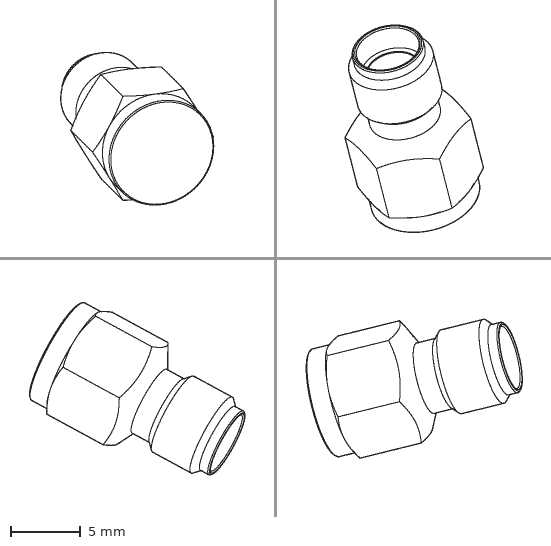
import cadquery as cq
import math

length = 14.2
hex_flats = 8.0
hex_radius = hex_flats / math.sqrt(3)

thread_start = 0.8
thread_end = 5.01
cone_start = 6.49
hex_end = 12.7

neck_radius = 2.61
thread_radius = 3.11
collar_radius = hex_flats / 2
thread_chamfer = thread_radius - neck_radius
edge_chamfer = 0.1
hex_cone_slope = math.tan(math.radians(30))

bore_radius = 2.3
bore_depth = 1.99
mouth_chamfer = 0.1
recess_radius = 1.9
recess_depth = 0.1


def turned(profile):
    """Revolve (station, radius) points, closed along the X axis, into a solid."""
    first_station = profile[0][0]
    last_station = profile[-1][0]
    outline = [(first_station, 0), *profile, (last_station, 0)]
    return cq.Workplane("XY").polyline(outline).close().revolve(360, (0, 0, 0), (1, 0, 0))


def make_threaded_neck():
    """Neck with the raised, chamfered band of the unmodelled thread."""
    return turned([
        (0, neck_radius - edge_chamfer),
        (edge_chamfer, neck_radius),
        (thread_start, neck_radius),
        (thread_start + thread_chamfer, thread_radius),
        (thread_end - thread_chamfer, thread_radius),
        (thread_end, neck_radius),
        (cone_start, neck_radius),
    ])


def make_hex():
    """Hexagon with flats facing Z and both ends turned to cones."""
    prism = (
        cq.Workplane("YZ")
        .workplane(offset=cone_start)
        .polygon(6, 2 * hex_radius)
        .extrude(hex_end - cone_start)
    )
    front_run = (hex_radius - neck_radius) * hex_cone_slope
    rear_run = (hex_radius - collar_radius) * hex_cone_slope
    envelope = turned([
        (cone_start, neck_radius),
        (cone_start + front_run, hex_radius),
        (hex_end - rear_run, hex_radius),
        (hex_end, collar_radius),
    ])
    return prism.intersect(envelope)


def make_collar():
    """Round collar at the large end, chamfered at its outer edge."""
    return turned([
        (hex_end, collar_radius),
        (length - edge_chamfer, collar_radius),
        (length, collar_radius - edge_chamfer),
    ])


def make_socket():
    """Stepped cutter for the socket, flared at the mouth."""
    return turned([
        (0, bore_radius + mouth_chamfer),
        (mouth_chamfer, bore_radius),
        (bore_depth, bore_radius),
        (bore_depth, recess_radius),
        (bore_depth + recess_depth, recess_radius),
    ])


body = make_threaded_neck().union(make_hex()).union(make_collar())
result = body.cut(make_socket())